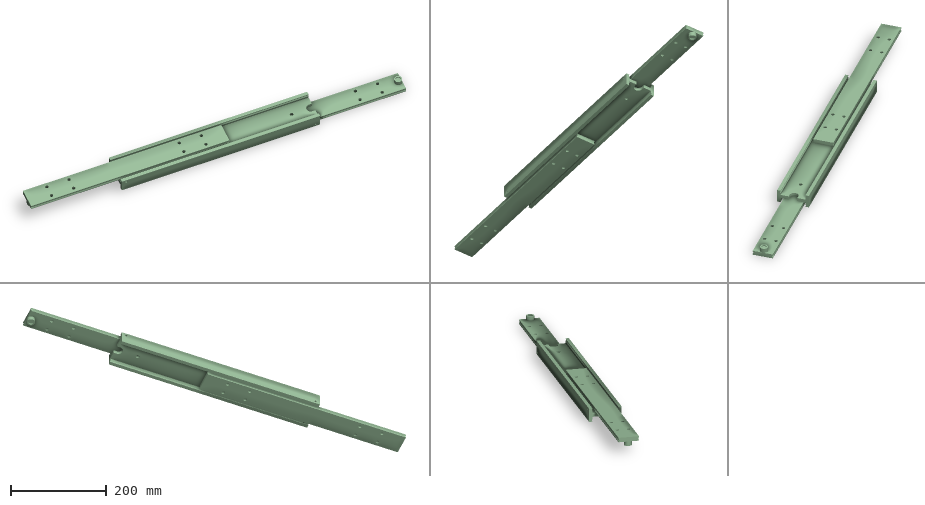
import cadquery as cq

total_length = 850.0
total_height = 32.0
member_length = 450.0

middle_width = 70.0
middle_height = 29.0
flange_thickness = 8.0
web_thickness = 8.0

rail_width = 44.0
rail_gap = 2.5
rail_bottom = web_thickness / 2 + rail_gap
rail_height = total_height / 2 - rail_bottom
rail_middle = rail_bottom + rail_height / 2

race_radius = 3.0
race_depth = 1.5

mount_hole_diameter = 7.2
mount_hole_spacing = 25.0
mount_hole_distances = (50.0, 100.0, 350.0, 400.0)

bumper_radius = 8.5
bumper_bottom = -3.0
stem_radius = 4.7
recess_radius = 5.5
recess_depth = 2.5
bumper_y = -total_length / 2 + bumper_radius

notch_radius = 9.0
notch_depth = 16.0
web_hole_diameter = 8.0
web_hole_inset = 50.0
stop_hole_diameter = 4.0
stop_hole_inset = 10.0
stop_hole_level = 8.5


def turned_over(body):
    """Half a turn about X, which swaps top with bottom and front with back."""
    return body.rotate((0, 0, 0), (1, 0, 0), 180)


def long_bar(width, height, length):
    return cq.Workplane("XY").box(width, length, height)


def race(wall_x, wall_z, outward):
    """Round groove cutter whose bottom lies race_depth beyond the wall, on the outward side."""
    axis_x = wall_x + outward * (race_depth - race_radius)
    return (
        cq.Workplane("XZ")
        .center(axis_x, wall_z)
        .circle(race_radius)
        .extrude(total_length, both=True)
    )


def end_notch():
    """Round-bottomed notch in the back end of the web."""
    end_y = member_length / 2
    arc_y = end_y - notch_depth + notch_radius
    round_bottom = cq.Workplane("XY").center(0, arc_y).circle(notch_radius).extrude(web_thickness, both=True)
    mouth = (
        cq.Workplane("XY")
        .center(0, arc_y + notch_radius)
        .rect(2 * notch_radius, 2 * notch_radius)
        .extrude(web_thickness, both=True)
    )
    return round_bottom.union(mouth)


def web_hole():
    return (
        cq.Workplane("XY")
        .center(0, member_length / 2 - web_hole_inset)
        .circle(web_hole_diameter / 2)
        .extrude(web_thickness, both=True)
    )


def stop_holes():
    """Cross holes through both flanges, below the web near the back end."""
    return (
        cq.Workplane("YZ")
        .center(member_length / 2 - stop_hole_inset, -stop_hole_level)
        .circle(stop_hole_diameter / 2)
        .extrude(middle_width, both=True)
    )


def make_middle_member():
    body = long_bar(middle_width, middle_height, member_length)
    channel_width = middle_width - 2 * flange_thickness
    channel_depth = (middle_height - web_thickness) / 2
    channel_z = (web_thickness + channel_depth) / 2
    for side in (-1, 1):
        channel = long_bar(channel_width, channel_depth, member_length)
        body = body.cut(channel.translate((0, 0, side * channel_z)))
        for level in (-rail_middle, rail_middle):
            body = body.cut(race(side * channel_width / 2, level, side))
    for cutter in (end_notch(), web_hole(), stop_holes()):
        body = body.cut(cutter).cut(turned_over(cutter))
    return body


def make_rail():
    """The upper rail, which sticks out at the front."""
    outer_end = -total_length / 2
    body = long_bar(rail_width, rail_height, member_length)
    body = body.translate((0, outer_end + member_length / 2, rail_middle))
    for side in (-1, 1):
        body = body.cut(race(side * rail_width / 2, rail_middle, -side))
    hole_points = [
        (side * mount_hole_spacing / 2, outer_end + distance)
        for side in (-1, 1)
        for distance in mount_hole_distances
    ]
    holes = cq.Workplane("XY").pushPoints(hole_points).circle(mount_hole_diameter / 2).extrude(total_height)
    stem_hole = cq.Workplane("XY").center(0, bumper_y).circle(stem_radius).extrude(total_height)
    return body.cut(holes).cut(stem_hole)


def make_bumper():
    """Round head under the upper rail, with a stem filling the rail's end hole and a recess in its face."""
    head = (
        cq.Workplane("XY", origin=(0, bumper_y, bumper_bottom))
        .circle(bumper_radius)
        .extrude(rail_bottom - bumper_bottom)
    )
    bumper = head.faces(">Z").workplane().circle(stem_radius).extrude(rail_height)
    return bumper.faces("<Z").workplane().circle(recess_radius).cutBlind(-recess_depth)


middle_member = make_middle_member()
rails = [make_rail(), turned_over(make_rail())]
bumpers = [make_bumper(), turned_over(make_bumper())]

result = cq.Compound.makeCompound(
    [middle_member.val()] + [rail.val() for rail in rails] + [bumper.val() for bumper in bumpers]
)